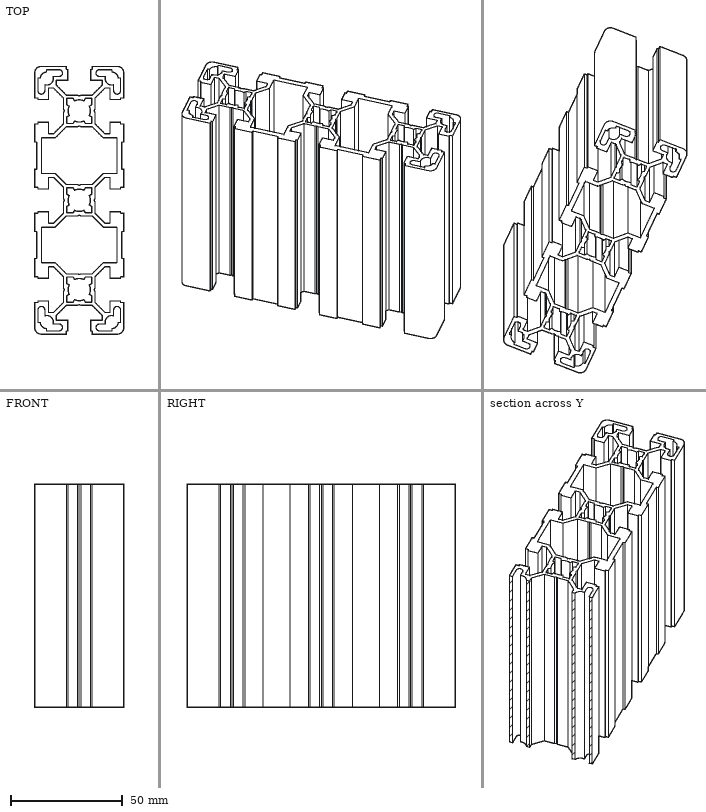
import cadquery as cq

LONGEST_SIDE = 120.0
CELL_COUNT = 3
CELL = LONGEST_SIDE / CELL_COUNT
HALF_CELL = CELL / 2
LENGTH = 2.5 * CELL
CORNER_RADIUS = 3.0

LIP_INNER = 13.7
STEP_DEPTH = 1.5
MOUTH_HALF = 5.8
NECK_HALF = 5.0
CHANNEL_HALF = 10.2
CORE_HALF = 7.1
WEB_OFFSET = 1.3
NOTCH_HALF = 0.7
NOTCH_DEPTH = 0.4

CORE_CAVITY = 11.2
BORE_RADIUS = 4.9
PAD_ROOT_HALF = 2.8
PAD_TIP_HALF = 2.0
PAD_TIP = 4.3

CAVITY_HALF_X = 16.8
CAVITY_HALF_Y = 7.9
RECESS_DEPTH = 1.0
RECESS_HALF = 6.0

HOLLOW_CENTER = 14.5
HOLLOW_RADIUS = 2.9
ARM_START = 14.6
ARM_END = 7.5
ARM_WIDTH = 3.0
ARM_WALL = 1.5

QUARTER_TURNS = (0, 90, 180, 270)
CELL_CENTERS = [(i - (CELL_COUNT - 1) / 2) * CELL for i in range(CELL_COUNT)]
CAVITY_CENTERS = [(a + b) / 2 for a, b in zip(CELL_CENTERS, CELL_CENTERS[1:])]


def mirrored(half_outline):
    """Complete a symmetric outline from its +Y half."""
    return half_outline + [(x, -y) for x, y in reversed(half_outline)]


def prism(outline):
    return cq.Workplane("XY").polyline(outline).close().extrude(LENGTH)


def block(x_size, y_size):
    return cq.Workplane("XY").rect(x_size, y_size).extrude(LENGTH)


def turned(body, angle):
    return body.rotate((0, 0, 0), (0, 0, 1), angle)


def t_slot():
    """Slot that opens towards +X, in a cell centred on the origin."""
    return prism(mirrored([
        (HALF_CELL, MOUTH_HALF),
        (HALF_CELL - STEP_DEPTH, MOUTH_HALF),
        (HALF_CELL - STEP_DEPTH, NECK_HALF),
        (LIP_INNER, NECK_HALF),
        (LIP_INNER, CHANNEL_HALF),
        (CHANNEL_HALF + WEB_OFFSET, CHANNEL_HALF),
        (CORE_HALF, CORE_HALF - WEB_OFFSET),
    ]))


def core_notch():
    """Small V groove along the middle of the +X face of a core."""
    return prism([
        (CORE_HALF, NOTCH_HALF),
        (CORE_HALF - NOTCH_DEPTH, 0),
        (CORE_HALF, -NOTCH_HALF),
    ])


def core_cavity():
    cavity = block(CORE_CAVITY, CORE_CAVITY)
    pad = prism(mirrored([
        (CORE_CAVITY / 2, PAD_ROOT_HALF),
        (PAD_TIP, PAD_TIP_HALF),
    ]))
    for angle in QUARTER_TURNS:
        cavity = cavity.cut(turned(pad, angle))
    return cavity.union(cq.Workplane("XY").circle(BORE_RADIUS).extrude(LENGTH))


def middle_cavity():
    """Cavity that narrows at 45 degrees towards the cores on both sides."""
    core_edge_y = HALF_CELL - CORE_HALF
    core_edge_x = CORE_HALF - WEB_OFFSET
    shoulder_x = core_edge_x + core_edge_y - CAVITY_HALF_Y
    right_half = [
        (core_edge_x, core_edge_y),
        (shoulder_x, CAVITY_HALF_Y),
        (CAVITY_HALF_X, CAVITY_HALF_Y),
        (CAVITY_HALF_X, -CAVITY_HALF_Y),
        (shoulder_x, -CAVITY_HALF_Y),
        (core_edge_x, -core_edge_y),
    ]
    return prism(right_half + [(-x, -y) for x, y in right_half])


def corner_hollow():
    """Hollow in the +X +Y corner of a cell centred on the origin."""
    arm_radius = ARM_WIDTH / 2
    arm_axis = HALF_CELL - ARM_WALL - arm_radius
    end_center = ARM_END + arm_radius
    arm = (
        cq.Workplane("XY")
        .moveTo(arm_axis - arm_radius, ARM_START)
        .lineTo(arm_axis - arm_radius, end_center)
        .threePointArc((arm_axis, ARM_END), (arm_axis + arm_radius, end_center))
        .lineTo(arm_axis + arm_radius, ARM_START)
        .close()
        .extrude(LENGTH)
    )
    bore = (
        cq.Workplane("XY")
        .center(HOLLOW_CENTER, HOLLOW_CENTER)
        .circle(HOLLOW_RADIUS)
        .extrude(LENGTH)
    )
    return bore.union(arm).union(turned(arm.mirror("YZ"), -90))


result = block(CELL, CELL * CELL_COUNT).edges("|Z").fillet(CORNER_RADIUS)

for center_y in CELL_CENTERS:
    for angle in (0, 180):
        result = result.cut(turned(t_slot(), angle).translate((0, center_y, 0)))
    result = result.cut(core_cavity().translate((0, center_y, 0)))
    for angle in QUARTER_TURNS:
        result = result.cut(turned(core_notch(), angle).translate((0, center_y, 0)))

for center_y, slot_angle in ((CELL_CENTERS[-1], 90), (CELL_CENTERS[0], 270)):
    result = result.cut(turned(t_slot(), slot_angle).translate((0, center_y, 0)))
    for hollow_angle in (slot_angle - 90, slot_angle):
        result = result.cut(turned(corner_hollow(), hollow_angle).translate((0, center_y, 0)))

for center_y in CAVITY_CENTERS:
    result = result.cut(middle_cavity().translate((0, center_y, 0)))
    for side in (-1, 1):
        recess = block(2 * RECESS_DEPTH, 2 * RECESS_HALF)
        result = result.cut(recess.translate((side * HALF_CELL, center_y, 0)))